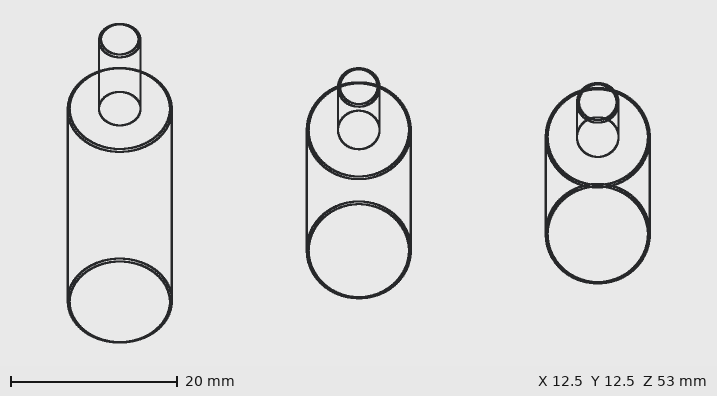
import cadquery as cq

total_length = 53.0
body_diameter = 12.5
body_length = 39.0
pin_diameter = 5.0
pin_length = total_length - body_length

end_chamfer = 0.25

body = cq.Workplane("XY").circle(body_diameter / 2).extrude(body_length)
body = body.faces("<Z or >Z").edges().chamfer(end_chamfer)

pin = cq.Workplane("XY").workplane(offset=body_length).circle(pin_diameter / 2).extrude(pin_length)
pin = pin.faces(">Z").edges().chamfer(end_chamfer)

result = body.union(pin)